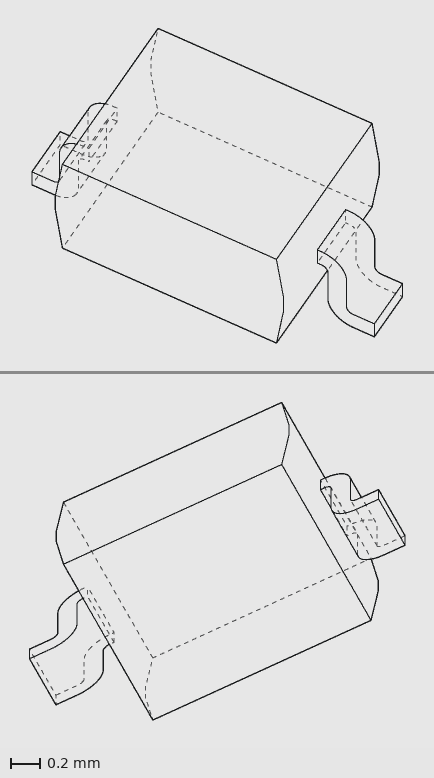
import cadquery as cq

overall_length = 2.7
body_width = 1.35
overall_height = 1.1

body_length = 1.8
body_end_length = 1.688

lead_thickness = 0.148
lead_width = 0.4
lead_top = 0.7
foot_length = 0.167
inner_radius = 0.05

outer_radius = inner_radius + lead_thickness
lead_underside = lead_top - lead_thickness
body_bottom = lead_thickness


def make_body():
    """Body whose ends taper above and below an upright band at lead height."""
    half_band = body_length / 2
    half_end = body_end_length / 2
    outline = [
        (-half_end, body_bottom),
        (half_end, body_bottom),
        (half_band, lead_underside),
        (half_band, lead_top),
        (half_end, overall_height),
        (-half_end, overall_height),
        (-half_band, lead_top),
        (-half_band, lead_underside),
    ]
    return (
        cq.Workplane("XZ").polyline(outline).close()
        .extrude(body_width / 2, both=True)
    )


def make_left_lead():
    """Gull-wing lead: foot, lower bend, upright leg and upper bend into the body."""
    tip = -overall_length / 2
    foot_end = tip + foot_length
    leg_inside = foot_end + outer_radius
    leg_outside = leg_inside - lead_thickness
    upper_bend_end = leg_outside + outer_radius
    body_face = -body_length / 2
    upper_centre = lead_top - outer_radius
    profile = (
        cq.Workplane("XZ").moveTo(tip, 0)
        .lineTo(foot_end, 0)
        .radiusArc((leg_inside, outer_radius), -outer_radius)
        .lineTo(leg_inside, upper_centre)
        .radiusArc((upper_bend_end, lead_underside), inner_radius)
        .lineTo(body_face, lead_underside)
        .lineTo(body_face, lead_top)
        .lineTo(upper_bend_end, lead_top)
        .radiusArc((leg_outside, upper_centre), -outer_radius)
        .lineTo(leg_outside, outer_radius)
        .radiusArc((foot_end, lead_thickness), inner_radius)
        .lineTo(tip, lead_thickness)
        .close()
    )
    return profile.extrude(lead_width / 2, both=True)


left_lead = make_left_lead()
right_lead = left_lead.mirror("YZ")
result = make_body().union(left_lead).union(right_lead)